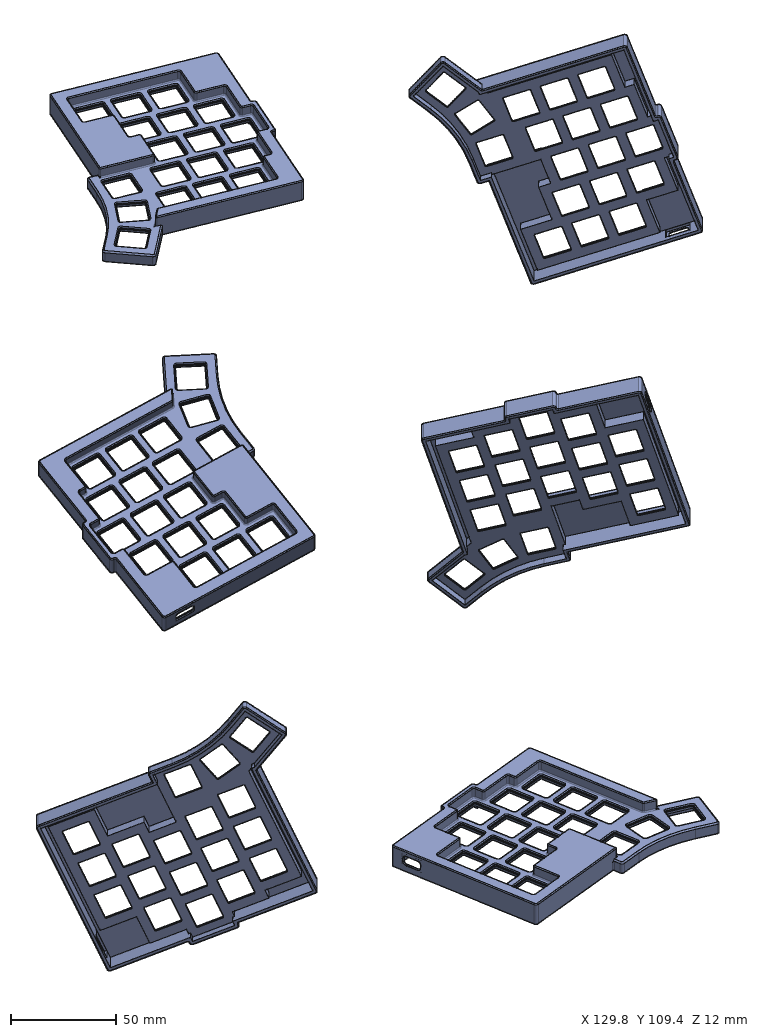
import cadquery as cq
import math

total_width = 129.8
height = 12.0

case_width = 109.0
case_depth = 86.8
corner_radius = 1.4
joint_radius = 0.6
case_edge_chamfer = 0.5
wall = 2.0

plate_top = 6.5
plate_thickness = 2.3
plate_bottom = plate_top - plate_thickness

key_pitch = 19.0
keys_per_column = 3
column_length = (keys_per_column - 1) * key_pitch
first_column_x = 16.6
column_front_y = [16.6, 32.5, 38.5, 32.5, 27.8]
columns = [(first_column_x + i * key_pitch, y) for i, y in enumerate(column_front_y)]
bump_column = columns[2]
first_open_column = 3

key_opening = 14.0
key_corner_radius = 0.6
key_ledge = 0.4
key_recess_depth = 1.2
key_chamfer = 0.5

well_margin = 10.0
outer_margin = 12.8
well_corner_radius = 1.0
well_floor_fillet = 0.5

thumb_key_count = 3
thumb_step_angle = 15.0
thumb_end_angle = thumb_step_angle * (thumb_key_count - 1)
thumb_end_sin = math.sin(math.radians(thumb_end_angle))
thumb_end_cos = math.cos(math.radians(thumb_end_angle))
thumb_first_key_y = 7.4
thumb_arc_x = columns[3][0]
thumb_end_reach = (outer_margin - corner_radius) * (thumb_end_cos + thumb_end_sin) + corner_radius
thumb_radius = (total_width - thumb_end_reach - thumb_arc_x) / thumb_end_sin
thumb_arc_y = thumb_first_key_y - thumb_radius
thumb_edge_chamfer = 0.8

rim_end_margin = 9.5
rim_end_y = thumb_arc_y + (
    thumb_radius + rim_end_margin - (case_width - thumb_arc_x) * thumb_end_sin
) / thumb_end_cos

slot_width = 9.7
slot_height = 4.2
slot_y = 74.5
slot_z = 6.5
slot_radius = 1.4
slot_chamfer = 0.5
slot_wall = 0.6
slot_pocket_margin = 1.3

clearance = 51.9


def block(x0, x1, y0, y1, z0, z1):
    """Box between two opposite corners."""
    return cq.Workplane("XY", origin=(x0, y0, z0)).box(x1 - x0, y1 - y0, z1 - z0, centered=False)


def rounded_rectangle(width, depth, radius):
    """Centred rectangle with rounded corners."""
    return cq.Sketch().rect(width, depth).vertices().fillet(radius)


def round_upright_edges(solid, x, y, radius):
    """Fillet the upright edges that stand at one place in plan."""
    reach = 0.1
    here = cq.selectors.BoxSelector((x - reach, y - reach, 0), (x + reach, y + reach, height))
    return solid.edges("|Z").edges(here).fillet(radius)


def on_thumb_arc(solid, angle):
    """Move a solid from the origin to its place and tilt on the thumb arc."""
    return (
        solid.translate((0, thumb_radius, 0))
        .rotate((0, 0, 0), (0, 0, 1), -angle)
        .translate((thumb_arc_x, thumb_arc_y, 0))
    )


def case_blocks(inset, top):
    """The case rectangle and the bump, both shrunk by the inset, as two separate blocks."""
    bump_x, bump_y = bump_column
    half = outer_margin - inset
    rectangle = block(inset, case_width - inset, inset, case_depth - inset, 0, top)
    bump = block(bump_x - half, bump_x + half, bump_y, bump_y + column_length + half, 0, top)
    return rectangle, bump


def case_cavity(top):
    """Inside of the case walls, from the open underside up to the given height."""
    rectangle, bump = case_blocks(wall, top)
    return rectangle.union(bump)


def case_outside():
    """Full-height case with rounded upright edges."""
    rectangle, bump = case_blocks(0, height)
    rectangle = rectangle.edges("|Z").fillet(corner_radius)
    bump = bump.edges("|Z and >Y").fillet(corner_radius)
    outside = rectangle.union(bump)
    for side in (-1, 1):
        joint_x = bump_column[0] + side * outer_margin
        outside = round_upright_edges(outside, joint_x, case_depth, joint_radius)
    return outside


def thumb_prism(inset, top):
    """Thumb cluster plan shrunk by the inset: an arc at the front, a tilted square at the far end."""
    margin = outer_margin - inset
    front_radius = thumb_radius - margin
    back_radius = thumb_radius + margin

    def point(radius, along, angle):
        tilt = math.radians(angle)
        x = thumb_arc_x + radius * math.sin(tilt) + along * math.cos(tilt)
        y = thumb_arc_y + radius * math.cos(tilt) - along * math.sin(tilt)
        return x, y

    return (
        cq.Workplane("XY")
        .moveTo(*point(front_radius, -margin, 0))
        .lineTo(*point(front_radius, 0, 0))
        .threePointArc(
            point(front_radius, 0, thumb_end_angle / 2),
            point(front_radius, 0, thumb_end_angle),
        )
        .lineTo(*point(front_radius, margin, thumb_end_angle))
        .lineTo(*point(back_radius, margin, thumb_end_angle))
        .lineTo(*point(back_radius, -margin, thumb_end_angle))
        .lineTo(*point(back_radius, -margin, 0))
        .close()
        .extrude(top)
    )


def thumb_outside():
    """Thumb cluster with rounded corners and chamfered upper and lower edges."""
    thumb = thumb_prism(0, plate_top)
    thumb = thumb.edges("|Z and (<X or >X or <Y)").fillet(corner_radius)
    thumb = thumb.faces(">Z").edges().chamfer(thumb_edge_chamfer)
    return thumb.faces("<Z").edges().chamfer(case_edge_chamfer)


def well_volume(extra, z0, z1):
    """Space around the keys and over the thumb cluster, grown sideways by the extra distance."""
    margin = well_margin + extra
    volume = on_thumb_arc(
        block(-2 * well_margin, clearance, -clearance / 2, rim_end_margin + extra, z0, z1),
        thumb_end_angle,
    )
    for index, (x, y) in enumerate(columns):
        front = -clearance if index >= first_open_column else y - margin
        volume = volume.union(block(x - margin, x + margin, front, y + column_length + margin, z0, z1))
    return volume.clean()


def case_with_well():
    """Case with the key well sunk to the switch plate and its wall blended into the floor."""
    outside = case_outside()
    well = well_volume(0, plate_top, height).edges("|Z").fillet(well_corner_radius)
    case = outside.cut(well)
    case = round_upright_edges(case, columns[first_open_column][0] - well_margin, 0, joint_radius)
    case = round_upright_edges(case, case_width, rim_end_y, joint_radius)
    case = case.faces(">Z or <Z").edges().chamfer(case_edge_chamfer)
    blended_well = well.faces("<Z").edges().fillet(well_floor_fillet)
    return case.union(well.cut(blended_well).intersect(outside))


def key_cutter():
    """Key opening on the Z axis, cutting through the switch plate."""

    def square(widening, z):
        outline = rounded_rectangle(
            key_opening + 2 * widening, key_opening + 2 * widening, key_corner_radius + widening
        )
        return cq.Workplane("XY", origin=(0, 0, z)).placeSketch(outline)

    opening = square(0, 0).extrude(plate_top)
    recess = square(key_ledge, plate_top - key_recess_depth).extrude(key_recess_depth)
    rim = square(key_ledge + key_chamfer, plate_top).extrude(-key_chamfer, taper=45)
    return opening.union(recess).union(rim)


def slot_cutter():
    """Connector slot with a chamfered mouth and a square pocket on the inner side of the wall."""
    wall_face = cq.Workplane("YZ", origin=(0, slot_y, slot_z))
    slot = wall_face.placeSketch(rounded_rectangle(slot_width, slot_height, slot_radius)).extrude(wall)
    mouth_outline = rounded_rectangle(
        slot_width + 2 * slot_chamfer, slot_height + 2 * slot_chamfer, slot_radius + slot_chamfer
    )
    mouth = wall_face.placeSketch(mouth_outline).extrude(slot_chamfer, taper=45)
    pocket = (
        wall_face.workplane(offset=slot_wall)
        .rect(slot_width + 2 * slot_pocket_margin, slot_height + 2 * slot_pocket_margin)
        .extrude(wall - slot_wall)
    )
    return slot.union(mouth).union(pocket)


result = case_with_well().union(thumb_outside())
result = round_upright_edges(result, thumb_arc_x - outer_margin, 0, joint_radius)

result = result.cut(case_cavity(plate_bottom)).cut(thumb_prism(wall, plate_bottom))
result = result.cut(case_cavity(height - wall).cut(well_volume(wall, 0, height)))

key = key_cutter()
for column_x, front_y in columns:
    for row in range(keys_per_column):
        result = result.cut(key.translate((column_x, front_y + row * key_pitch, 0)))
for step in range(thumb_key_count):
    result = result.cut(on_thumb_arc(key, step * thumb_step_angle))

result = result.cut(slot_cutter())